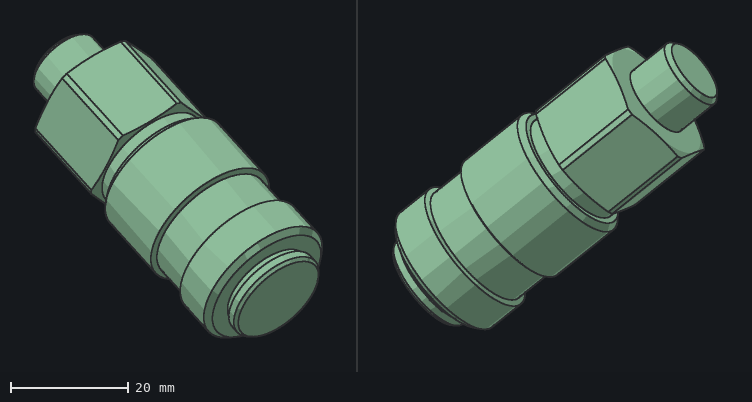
import cadquery as cq
import math

shank_end = 8.9
hex_end = 25.85
sleeve_start = 28.6
groove_start = 42.85
groove_end = 51.3
sleeve_end = 59.2
flange_start = 60.5
flange_end = 62.55

shank_diameter = 13.15
shank_chamfer = 0.9

hex_across_flats = 22.0
hex_sides = 6
hex_corner_flat = 1.1
hex_chamfer_angle = 15.0

collar_diameter = 20.8
core_diameter = 16.65
flange_diameter = 18.0
flange_tip_diameter = 17.0
flange_chamfer_length = 0.6

sleeve_diameter = 25.15
sleeve_end_diameter = 23.0
sleeve_chamfer_length = 1.05
groove_diameter = 23.0
groove_wall_run = 0.3

pin_diameter = flange_start - sleeve_end
pin_length = 3.1


def revolve_about_x(points):
    """Solid of revolution about X from a closed outline of (x, radius) points."""
    return cq.Workplane("XY").polyline(points).close().revolve(360, (0, 0, 0), (1, 0, 0))


def make_shank():
    radius = shank_diameter / 2
    return revolve_about_x([
        (0, 0),
        (0, radius - shank_chamfer),
        (shank_chamfer, radius),
        (shank_end, radius),
        (shank_end, 0),
    ])


def make_hexagon():
    """Hexagon with blunted corners, two of them on the Y axis, and a cone chamfer on both ends."""
    half_side_angle = math.pi / hex_sides
    corner_radius = hex_across_flats / 2 / math.cos(half_side_angle)
    half_flat = hex_corner_flat / 2
    corner_cut = half_flat * math.tan(half_side_angle)
    blunted_radius = corner_radius - corner_cut

    outline = []
    for index in range(hex_sides):
        angle = 2 * half_side_angle * index
        for offset in (-half_flat, half_flat):
            y = blunted_radius * math.cos(angle) - offset * math.sin(angle)
            z = blunted_radius * math.sin(angle) + offset * math.cos(angle)
            outline.append((y, z))
    length = hex_end - shank_end
    prism = (
        cq.Workplane("YZ", origin=(shank_end, 0, 0))
        .polyline(outline)
        .close()
        .extrude(length)
    )

    face_radius = hex_across_flats / 2
    chamfer_length = (corner_radius - face_radius) * math.tan(math.radians(hex_chamfer_angle))
    chamfer_envelope = revolve_about_x([
        (shank_end, 0),
        (shank_end, face_radius),
        (shank_end + chamfer_length, corner_radius),
        (hex_end - chamfer_length, corner_radius),
        (hex_end, face_radius),
        (hex_end, 0),
    ])
    return prism.intersect(chamfer_envelope)


def make_core():
    """Collar, core inside the sleeve and end flange, as one turned shape."""
    return revolve_about_x([
        (hex_end, 0),
        (hex_end, collar_diameter / 2),
        (sleeve_start, collar_diameter / 2),
        (sleeve_start, core_diameter / 2),
        (flange_start, core_diameter / 2),
        (flange_start, flange_diameter / 2),
        (flange_end - flange_chamfer_length, flange_diameter / 2),
        (flange_end, flange_tip_diameter / 2),
        (flange_end, 0),
    ])


def make_body():
    return make_shank().union(make_hexagon()).union(make_core())


def make_sleeve():
    """Grip sleeve that fits the core, with a recessed band between sloped walls."""
    bore_radius = core_diameter / 2
    outer_radius = sleeve_diameter / 2
    end_radius = sleeve_end_diameter / 2
    groove_radius = groove_diameter / 2
    return revolve_about_x([
        (sleeve_start, bore_radius),
        (sleeve_start, end_radius),
        (sleeve_start + sleeve_chamfer_length, outer_radius),
        (groove_start, outer_radius),
        (groove_start + groove_wall_run, groove_radius),
        (groove_end - groove_wall_run, groove_radius),
        (groove_end, outer_radius),
        (sleeve_end - sleeve_chamfer_length, outer_radius),
        (sleeve_end, end_radius),
        (sleeve_end, bore_radius),
    ])


def make_pin():
    """Pin that fills the gap between sleeve and flange and rests against the core."""
    pin_x = (sleeve_end + flange_start) / 2
    pin_z = -(core_diameter + pin_diameter) / 2
    return (
        cq.Workplane("XZ", origin=(pin_x, 0, pin_z))
        .circle(pin_diameter / 2)
        .extrude(pin_length / 2, both=True)
    )


body = make_body()
sleeve = make_sleeve()
pin = make_pin()

result = cq.Compound.makeCompound([body.val(), sleeve.val(), pin.val()])